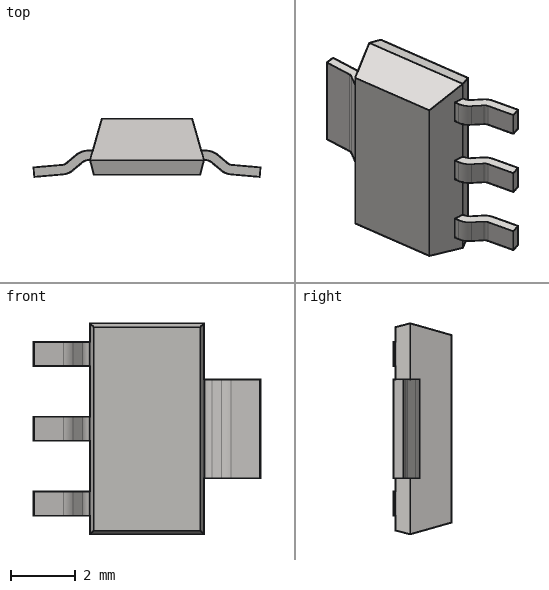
import cadquery as cq
import math

SPAN = 7.0

HOUSING_WIDTH = 3.515
HOUSING_HEIGHT = 6.5
BACK_DEPTH = 1.28
FRONT_DEPTH = 0.455
BACK_INSET = 0.365
FRONT_INSET = 0.12

THICKNESS = 0.3
SHOULDER_LENGTH = 0.04
SHOULDER_RADIUS = 0.3
SLOPE_ANGLE = 40.0
SLOPE_LENGTH = 0.39
FOOT_RADIUS = 0.21
FOOT_ANGLE = 5.0

LEAD_WIDTH = 0.75
LEAD_PITCH = 2.3
LEAD_COUNT = 3
TAB_WIDTH = 3.045


def tapered_block(depth, inset, direction):
    """Block growing from the parting plane, with all four sides leaning in."""
    return (
        cq.Workplane("XZ")
        .rect(HOUSING_WIDTH, HOUSING_HEIGHT)
        .workplane(offset=-direction * depth)
        .rect(HOUSING_WIDTH - 2 * inset, HOUSING_HEIGHT - 2 * inset)
        .loft(ruled=True)
    )


def make_housing():
    back = tapered_block(BACK_DEPTH, BACK_INSET, 1)
    front = tapered_block(FRONT_DEPTH, FRONT_INSET, -1)
    return back.union(front, clean=False).solids()


def arc_point(center, radius, angle):
    """Point on an arc; the angle in degrees is measured from +Y towards +X."""
    turn = math.radians(angle)
    return (center[0] + radius * math.sin(turn), center[1] + radius * math.cos(turn))


def along(point, angle, length):
    """Point reached by running outwards and down at an angle below +X."""
    fall = math.radians(angle)
    return (point[0] + length * math.cos(fall), point[1] - length * math.sin(fall))


def make_bent_strip(width):
    """Gull-wing strip on the +X side, centred on Z = 0, its inner end flush with the housing."""
    housing_edge = HOUSING_WIDTH / 2
    upper_start = (housing_edge - THICKNESS * BACK_INSET / BACK_DEPTH, THICKNESS)

    shoulder_center = (housing_edge + SHOULDER_LENGTH, -SHOULDER_RADIUS)
    shoulder_outer = SHOULDER_RADIUS + THICKNESS
    upper_slope_start = arc_point(shoulder_center, shoulder_outer, SLOPE_ANGLE)
    lower_slope_start = arc_point(shoulder_center, SHOULDER_RADIUS, SLOPE_ANGLE)

    upper_slope_end = along(upper_slope_start, SLOPE_ANGLE, SLOPE_LENGTH)
    lower_slope_end = along(lower_slope_start, SLOPE_ANGLE, SLOPE_LENGTH)
    foot_center = arc_point(upper_slope_end, FOOT_RADIUS, SLOPE_ANGLE)
    foot_outer = FOOT_RADIUS + THICKNESS
    mid_angle = (SLOPE_ANGLE + FOOT_ANGLE) / 2
    upper_foot_start = arc_point(foot_center, -FOOT_RADIUS, FOOT_ANGLE)
    lower_foot_start = arc_point(foot_center, -foot_outer, FOOT_ANGLE)

    foot_length = (SPAN / 2 - upper_foot_start[0]) / math.cos(math.radians(FOOT_ANGLE))
    upper_tip = along(upper_foot_start, FOOT_ANGLE, foot_length)
    lower_tip = along(lower_foot_start, FOOT_ANGLE, foot_length)

    return (
        cq.Workplane("XY")
        .moveTo(*upper_start)
        .lineTo(shoulder_center[0], THICKNESS)
        .threePointArc(arc_point(shoulder_center, shoulder_outer, SLOPE_ANGLE / 2), upper_slope_start)
        .lineTo(*upper_slope_end)
        .threePointArc(arc_point(foot_center, -FOOT_RADIUS, mid_angle), upper_foot_start)
        .lineTo(*upper_tip)
        .lineTo(*lower_tip)
        .lineTo(*lower_foot_start)
        .threePointArc(arc_point(foot_center, -foot_outer, mid_angle), lower_slope_end)
        .lineTo(*lower_slope_start)
        .threePointArc(arc_point(shoulder_center, SHOULDER_RADIUS, SLOPE_ANGLE / 2), (shoulder_center[0], 0))
        .lineTo(housing_edge, 0)
        .close()
        .extrude(width / 2, both=True)
    )


def make_lead(height):
    """Narrow lead on the -X side, centred at the given Z."""
    return make_bent_strip(LEAD_WIDTH).mirror("YZ").translate((0, 0, height))


def make_tab():
    """Wide tab on the +X side."""
    return make_bent_strip(TAB_WIDTH)


housing = make_housing()
tab = make_tab()
leads = []
for index in range(LEAD_COUNT):
    lead_height = (index - (LEAD_COUNT - 1) / 2) * LEAD_PITCH
    leads.append(make_lead(lead_height))

result = cq.Compound.makeCompound([housing.val(), tab.val(), *[lead.val() for lead in leads]])